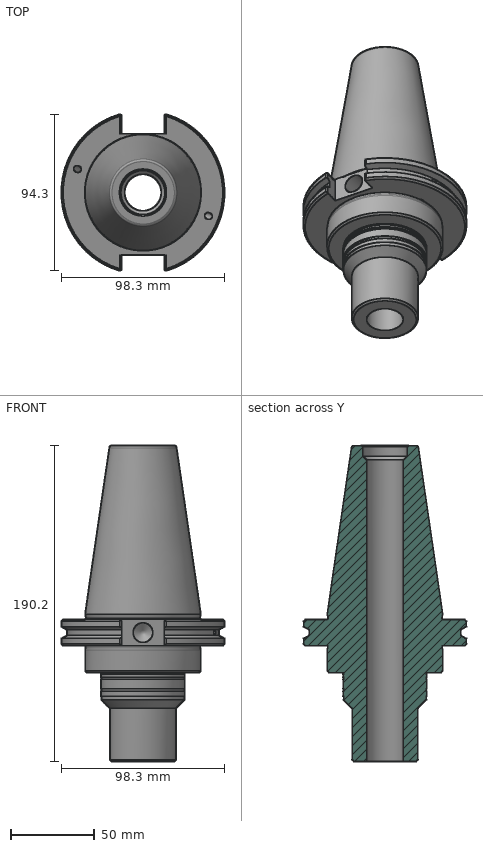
import cadquery as cq
import math

TOTAL_HEIGHT = 190.2

GAUGE_RADIUS = 69.8 / 2
TAPER_LENGTH = 101.5
TAPER_RATIO = 7 / 24
TAPER_END_FILLET = 1.5
UNDERCUT_DEPTH = 0.5
FLARE_OVERHANG = 0.2
GAUGE_Z = TOTAL_HEIGHT - TAPER_LENGTH
TAPER_END_RADIUS = GAUGE_RADIUS - TAPER_LENGTH * TAPER_RATIO / 2

FLANGE_RADIUS = 98.3 / 2
GAUGE_TO_FLANGE = 3.0
FLANGE_TOP_Z = GAUGE_Z - GAUGE_TO_FLANGE
FLANGE_HEIGHT = 16.0
FLANGE_BOTTOM_Z = FLANGE_TOP_Z - FLANGE_HEIGHT
FLANGE_MID_Z = FLANGE_TOP_Z - FLANGE_HEIGHT / 2
FLANGE_CHAMFER = 1.1
GROOVE_FLOOR_RADIUS = 45.8
GROOVE_FLOOR_HEIGHT = 3.5
GROOVE_MOUTH_HEIGHT = 7.0

COLLAR_RADIUS = GAUGE_RADIUS
COLLAR_BOTTOM_Z = 53.5
COLLAR_CHAMFER = 1.1
RELIEF_DEPTH = 0.29
RELIEF_HEIGHT = 1.1

NECK_RADIUS = 50.5 / 2
NECK_GROOVE_RADIUS = 50.0 / 2
NECK_BANDS = [(52.5, 50.8), (49.5, 44.0), (42.2, 39.4)]
NECK_CONE_TOP_Z = 37.0

NUT_RADIUS = 40.0 / 2
NUT_CHAMFER = 1.1

BORE_RADIUS = 21.9 / 2
COUNTERBORE_RADIUS = 26.5 / 2
COUNTERBORE_DEPTH = 6.5
COUNTERBORE_CHAMFER = 1.0

SLOT_WIDTH = 25.7
SLOT_FLOOR_FRONT = 37.7
SLOT_FLOOR_BACK = 35.4
SLOT_CHAMFER = 1.1
RIM_BREAK_DEPTH = 0.5

DRILL_TIP_ANGLE = 118.0
DIMPLE_DIAMETER = 11.8
DIMPLE_DEPTH = 12.4
COOLANT_CIRCLE_RADIUS = 41.8
COOLANT_ANGLE = 160.3
COOLANT_DIAMETER = 4.0
COOLANT_LEAN = 30.0
COOLANT_DEPTH = 17.1
PLUG_DIAMETER = 3.2
PLUG_DEPTH = 3.5


def revolved(points):
    """Turn a closed outline of (radius, z) points around Z."""
    return cq.Workplane("XZ").polyline(points).close().revolve(360, (0, 0, 0), (0, 1, 0))


def drill(start, direction, diameter, depth):
    """Blind hole of the given full-diameter depth with a conical drill tip."""
    radius = diameter / 2
    tip = radius / math.tan(math.radians(DRILL_TIP_ANGLE / 2))
    start = cq.Vector(*start)
    direction = cq.Vector(*direction).normalized()
    hole = cq.Solid.makeCylinder(radius, depth, start, direction)
    cone = cq.Solid.makeCone(radius, 0, tip, start + direction * depth, direction)
    return cq.Workplane(hole).union(cq.Workplane(cone))


def taper():
    outline = [
        (0, FLANGE_BOTTOM_Z),
        (GAUGE_RADIUS, FLANGE_BOTTOM_Z),
        (GAUGE_RADIUS + FLARE_OVERHANG, FLANGE_TOP_Z),
        (GAUGE_RADIUS - UNDERCUT_DEPTH, FLANGE_TOP_Z + UNDERCUT_DEPTH),
        (GAUGE_RADIUS, GAUGE_Z),
        (TAPER_END_RADIUS, TOTAL_HEIGHT),
        (0, TOTAL_HEIGHT),
    ]
    return revolved(outline).faces(">Z").edges().fillet(TAPER_END_FILLET)


def slot_cutter(side, floor):
    """Drive slot on the -Y or +Y side, with its top edges and rim edges broken."""
    half_width = SLOT_WIDTH / 2
    wide = half_width + SLOT_CHAMFER
    outline = [
        (-half_width, FLANGE_BOTTOM_Z),
        (half_width, FLANGE_BOTTOM_Z),
        (half_width, FLANGE_TOP_Z - SLOT_CHAMFER),
        (wide, FLANGE_TOP_Z),
        (-wide, FLANGE_TOP_Z),
        (-half_width, FLANGE_TOP_Z - SLOT_CHAMFER),
    ]
    slot = cq.Workplane("XZ", origin=(0, side * floor, 0)).polyline(outline).close()
    slot = slot.extrude(-side * FLANGE_RADIUS)

    rim = math.sqrt(FLANGE_RADIUS**2 - wide**2)
    inner = rim - RIM_BREAK_DEPTH
    flare_outline = [
        (-half_width, side * inner),
        (-wide, side * rim),
        (-wide, side * 2 * FLANGE_RADIUS),
        (wide, side * 2 * FLANGE_RADIUS),
        (wide, side * rim),
        (half_width, side * inner),
    ]
    flare = cq.Workplane("XY", origin=(0, 0, FLANGE_BOTTOM_Z)).polyline(flare_outline).close()
    flare = flare.extrude(FLANGE_HEIGHT)
    return slot.union(flare)


def flange():
    land_radius = FLANGE_RADIUS - FLANGE_CHAMFER
    outline = [
        (0, FLANGE_BOTTOM_Z),
        (land_radius, FLANGE_BOTTOM_Z),
        (FLANGE_RADIUS, FLANGE_BOTTOM_Z + FLANGE_CHAMFER),
        (FLANGE_RADIUS, FLANGE_MID_Z - GROOVE_MOUTH_HEIGHT / 2),
        (GROOVE_FLOOR_RADIUS, FLANGE_MID_Z - GROOVE_FLOOR_HEIGHT / 2),
        (GROOVE_FLOOR_RADIUS, FLANGE_MID_Z + GROOVE_FLOOR_HEIGHT / 2),
        (FLANGE_RADIUS, FLANGE_MID_Z + GROOVE_MOUTH_HEIGHT / 2),
        (FLANGE_RADIUS, FLANGE_TOP_Z - FLANGE_CHAMFER),
        (land_radius, FLANGE_TOP_Z),
        (0, FLANGE_TOP_Z),
    ]
    body = revolved(outline)
    body = body.cut(slot_cutter(-1, SLOT_FLOOR_FRONT))
    return body.cut(slot_cutter(1, SLOT_FLOOR_BACK))


def lower_body():
    """Collar, neck and clamping nut."""
    relief_radius = COLLAR_RADIUS - RELIEF_DEPTH
    outline = [
        (0, FLANGE_BOTTOM_Z),
        (relief_radius, FLANGE_BOTTOM_Z),
        (relief_radius, FLANGE_BOTTOM_Z - RELIEF_HEIGHT),
        (COLLAR_RADIUS, FLANGE_BOTTOM_Z - 2 * RELIEF_HEIGHT),
        (COLLAR_RADIUS, COLLAR_BOTTOM_Z + COLLAR_CHAMFER),
        (COLLAR_RADIUS - COLLAR_CHAMFER, COLLAR_BOTTOM_Z),
        (NECK_GROOVE_RADIUS, COLLAR_BOTTOM_Z),
    ]
    for top, bottom in NECK_BANDS:
        outline += [
            (NECK_GROOVE_RADIUS, top),
            (NECK_RADIUS, top),
            (NECK_RADIUS, bottom),
            (NECK_GROOVE_RADIUS, bottom),
        ]
    outline += [
        (NECK_GROOVE_RADIUS, NECK_CONE_TOP_Z),
        (NUT_RADIUS, NECK_CONE_TOP_Z - (NECK_GROOVE_RADIUS - NUT_RADIUS)),
        (NUT_RADIUS, NUT_CHAMFER),
        (NUT_RADIUS - NUT_CHAMFER, 0),
        (0, 0),
    ]
    return revolved(outline)


def bore():
    """Through bore with a chamfered counterbore that ends in a 45 degree cone."""
    mouth_radius = COUNTERBORE_RADIUS + COUNTERBORE_CHAMFER
    seat_z = TOTAL_HEIGHT - COUNTERBORE_DEPTH
    outline = [
        (0, 0),
        (BORE_RADIUS, 0),
        (BORE_RADIUS, seat_z - (COUNTERBORE_RADIUS - BORE_RADIUS)),
        (COUNTERBORE_RADIUS, seat_z),
        (COUNTERBORE_RADIUS, TOTAL_HEIGHT - COUNTERBORE_CHAMFER),
        (mouth_radius, TOTAL_HEIGHT),
        (0, TOTAL_HEIGHT),
    ]
    return revolved(outline)


def coolant_hole(angle):
    """Hole leaning inward from the flange top, with a plug recess in the groove floor beside it."""
    outward = cq.Vector(math.cos(math.radians(angle)), math.sin(math.radians(angle)), 0)
    lean = math.radians(COOLANT_LEAN)
    direction = cq.Vector(0, 0, -math.cos(lean)) - outward * math.sin(lean)
    mouth = outward * COOLANT_CIRCLE_RADIUS + cq.Vector(0, 0, FLANGE_TOP_Z)
    start = mouth - direction * COOLANT_DIAMETER
    hole = drill(start.toTuple(), direction.toTuple(), COOLANT_DIAMETER, COOLANT_DEPTH + COOLANT_DIAMETER)

    recess_floor = outward * (GROOVE_FLOOR_RADIUS - PLUG_DEPTH) + cq.Vector(0, 0, FLANGE_MID_Z)
    recess_length = FLANGE_RADIUS - GROOVE_FLOOR_RADIUS + PLUG_DEPTH
    recess = cq.Solid.makeCylinder(PLUG_DIAMETER / 2, recess_length, recess_floor, outward)
    return hole, cq.Workplane(recess)


result = taper().union(flange()).union(lower_body()).cut(bore())
dimple = drill((0, -SLOT_FLOOR_FRONT, FLANGE_MID_Z), (0, 1, 0), DIMPLE_DIAMETER, DIMPLE_DEPTH)
result = result.cut(dimple)
for coolant_angle in (COOLANT_ANGLE, COOLANT_ANGLE + 180):
    for cutter in coolant_hole(coolant_angle):
        result = result.cut(cutter)